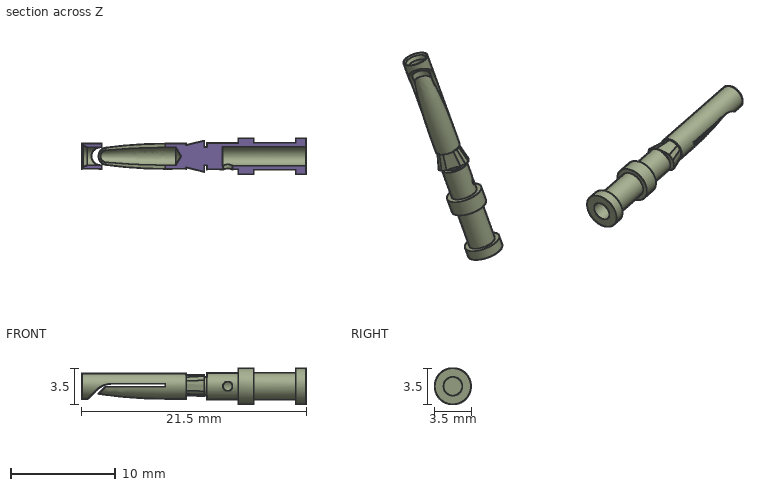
import cadquery as cq
import math

total_length = 21.5
tube_diameter = 2.45
tube_end = 10.0
neck_diameter = 1.8
neck_end = 12.0
barrel_diameter = 2.55
collar_diameter = 3.5
collar_start = 15.0
collar_end = 16.5
shank_diameter = 2.6
end_flange_length = 1.0
shank_end = total_length - end_flange_length

bore_radius = 1.7 / 2
bore_depth = 9.0
drill_tip_half_angle = math.radians(59)
mouth_radius = 1.16
mouth_chamfer = 0.15
lead_in_end = 0.55

wire_bore_diameter = 1.8
wire_bore_start = 13.5
inspection_diameter = 0.9
inspection_x = 14.0

slot_top = 0.22
slot_width = 0.25
slot_end = 8.0
slot_corner_radius = 2.0
nose_cut_x = 0.565
tongue_top = slot_top - slot_width
tongue_tip_x = 2.3
tongue_outer_bend = 42.0
tongue_inner_bend = 60.0

crown_end = 11.75
crown_front_half = [
    (0.0, 1.09),
    (0.27, 1.07),
    (0.68, 0.87),
    (1.0, 0.5),
    (1.08, 0.22),
    (1.08, -0.42),
    (0.86, -0.73),
    (0.5, -0.87),
]
crown_rear_half = [
    (0.0, 1.09),
    (0.55, 1.07),
    (0.95, 0.97),
    (1.41, 0.58),
    (1.51, 0.16),
    (1.51, -0.47),
    (1.2, -0.79),
    (0.7, -0.98),
]


def cylinder(diameter, start, end):
    """Cylinder on the X axis between two X stations."""
    return cq.Workplane("YZ").workplane(offset=start).circle(diameter / 2).extrude(end - start)


def turned_body():
    """Stepped outside of the contact."""
    body = cylinder(tube_diameter, 0, tube_end)
    for diameter, start, end in [
        (neck_diameter, tube_end, neck_end),
        (barrel_diameter, neck_end, collar_start),
        (collar_diameter, collar_start, collar_end),
        (shank_diameter, collar_end, shank_end),
        (collar_diameter, shank_end, total_length),
    ]:
        body = body.union(cylinder(diameter, start, end))
    return body


def full_outline(half):
    """Closed outline made from one half and its mirror image across Y = 0."""
    return half + [(-y, z) for y, z in reversed(half) if y > 0]


def crown():
    """Faceted crown that widens sideways and nearly keeps its height."""
    return (
        cq.Workplane("YZ")
        .workplane(offset=tube_end)
        .polyline(full_outline(crown_front_half))
        .close()
        .workplane(offset=crown_end - tube_end)
        .polyline(full_outline(crown_rear_half))
        .close()
        .loft(ruled=True)
    )


def contact_bore():
    """Bore with a chamfered mouth, a conical lead-in and a drill tip."""
    tip_x = bore_depth + bore_radius / math.tan(drill_tip_half_angle)
    return (
        cq.Workplane("XZ")
        .lineTo(0, mouth_radius)
        .lineTo(mouth_chamfer, mouth_radius - mouth_chamfer)
        .lineTo(lead_in_end, bore_radius)
        .lineTo(bore_depth, bore_radius)
        .lineTo(tip_x, 0)
        .close()
        .revolve(360, (0, 0, 0), (1, 0, 0))
    )


def slot_opening():
    """Everything below the slot's upper edge, from the nose cut to the slot end."""
    floor = -tube_diameter
    tube_bottom = -tube_diameter / 2
    corner_x = nose_cut_x + slot_top - tube_bottom
    arc_end_x = corner_x + slot_corner_radius * math.tan(math.pi / 8)
    arc_centre_z = slot_top - slot_corner_radius

    def arc_point(angle):
        return (
            arc_end_x - slot_corner_radius * math.sin(angle),
            arc_centre_z + slot_corner_radius * math.cos(angle),
        )

    return (
        cq.Workplane("XZ")
        .moveTo(nose_cut_x + floor - tube_bottom, floor)
        .lineTo(*arc_point(math.pi / 4))
        .threePointArc(arc_point(math.pi / 8), (arc_end_x, slot_top))
        .lineTo(slot_end, slot_top)
        .lineTo(slot_end, floor)
        .close()
        .extrude(tube_diameter, both=True)
    )


def bent_radius(root_radius, bend, x):
    """Radius of the tongue at x, curving in from the root at the slot end."""
    return root_radius - bend + math.sqrt(bend**2 - (slot_end - x) ** 2)


def tongue():
    """Half shell that bends inwards from the slot end to a 45 degree tip."""
    outer_root = tube_diameter / 2
    front_x = tongue_tip_x - outer_root
    middle_x = (front_x + slot_end) / 2

    def outer(x):
        return (x, bent_radius(outer_root, tongue_outer_bend, x))

    def inner(x):
        return (x, bent_radius(bore_radius, tongue_inner_bend, x))

    shell = (
        cq.Workplane("XZ")
        .moveTo(*outer(slot_end))
        .threePointArc(outer(middle_x), outer(front_x))
        .lineTo(*inner(front_x))
        .threePointArc(inner(middle_x), inner(slot_end))
        .close()
        .revolve(360, (0, 0, 0), (1, 0, 0))
    )
    kept_depth = tube_diameter
    kept_region = (
        cq.Workplane("XZ")
        .moveTo(tongue_tip_x, tongue_top)
        .lineTo(slot_end, tongue_top)
        .lineTo(slot_end, tongue_top - kept_depth)
        .lineTo(tongue_tip_x - kept_depth, tongue_top - kept_depth)
        .close()
        .extrude(tube_diameter, both=True)
    )
    return shell.intersect(kept_region)


def inspection_hole():
    """Hole from the -Y side into the wire bore."""
    return (
        cq.Workplane("XZ")
        .center(inspection_x, 0)
        .circle(inspection_diameter / 2)
        .extrude(barrel_diameter)
    )


wire_bore = cylinder(wire_bore_diameter, wire_bore_start, total_length)

result = (
    turned_body()
    .union(crown())
    .cut(contact_bore())
    .cut(slot_opening())
    .union(tongue())
    .cut(wire_bore)
    .cut(inspection_hole())
)